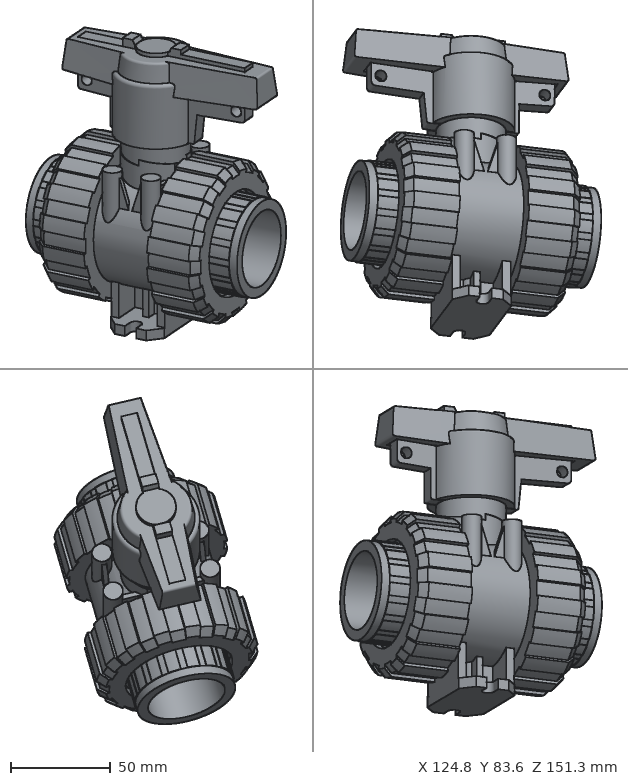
import cadquery as cq
import math


bore_radius = 16.0
socket_radius = 20.0

barrel_radius = 32.0
barrel_half_length = 34.5
neck_radius = 17.6
neck_base_radius = 17.9
neck_base_half_x = 15.7
neck_top = 67.0
ratchet_count = 4
ratchet_high = 42.4
ratchet_low = 39.2

post_radius = 5.0
post_x = 11.1
post_y = 25.2
post_top = 37.7
gusset_thickness = 2.6
gusset_foot = 17.8
gusset_foot_x = 0.9
gusset_top = 36.0
gusset_top_x = 6.8
inner_gusset_x = 12.9

foot_bottom = -50.87
foot_thickness = 5.5
foot_half_x = 15.4
foot_half_y = 26.2
foot_corner_x = 6.4
foot_corner_y = 7.0
notch_radius = 3.2
notch_depth = 8.5
leg_thickness = 4.4
leg_half_y = 18.4
web_thickness = 4.0
hub_post_radius = 5.0
rib_thickness = 3.4
rib_half_y = 10.5

nut_inner_x = 18.1
nut_outer_x = 46.0
nut_lip = 4.0
nut_chamfer = 4.0
nut_valley_radius = 40.2
nut_tooth_radius = 42.0
nut_hole_radius = 27.7
nut_tooth_count = 16
nut_tooth_angle = 180.0 / nut_tooth_count

connector_end_x = 60.75
connector_collar_x = 56.3
connector_collar_radius = 25.4
connector_groove_radius = 25.55
connector_radius = 25.9
connector_groove_count = 16
connector_groove_angle = 7.8

hub_bottom = 50.8
hub_radius = 22.0
hub_shoulder = 85.3
hub_shoulder_round = 1.9
crown_base_radius = 19.5
crown_top_radius = 18.0
crown_round = 1.5
handle_top = 95.75
grip_left_x = -48.25
grip_right_x = 64.25
grip_end_bottom = 79.5
grip_hub_bottom = 78.2
grip_hub_x = 17.5
grip_middle_x = 10.0
grip_middle_half_width = 13.9
grip_left_half_width = 11.0
grip_right_half_width = 10.6
grip_side_draft = 2.3
grip_end_draft = 1.7
grip_corner_round = 1.2
grip_roof = 4.0
channel_half_width = 6.0
channel_clearance = 1.0
hub_slot_half_width = 5.1

insert_half_width = 4.2
insert_left_x = -42.6
insert_right_x = 53.4
wing_end_bottom = 67.9
wing_corner_round = 2.0
leg_left_x = -24.0
leg_right_top_x = 25.9
leg_right_bottom_x = 24.3
leg_corner_round = 1.0
key_hole_radius = 2.9
key_hole_z = 73.5
key_hole_left_x = -37.5
key_hole_right_x = 48.4
cap_radius = 10.1
cap_top = 97.9
lug_top = 100.4
lug_inner_x = 11.2
lug_outer_x = 16.7
lug_foot_x = 9.8


def cylinder_z(radius, bottom, top):
    """Upright cylinder on the stem axis."""
    return cq.Workplane("XY").workplane(offset=bottom).circle(radius).extrude(top - bottom)


def cylinder_x(radius, start, end):
    """Cylinder on the pipe axis."""
    return cq.Workplane("YZ").workplane(offset=start).circle(radius).extrude(end - start)


def block(x_range, y_range, z_range):
    """Box given by its limits along each axis."""
    sizes = [high - low for low, high in (x_range, y_range, z_range)]
    corner = (x_range[0], y_range[0], z_range[0])
    return cq.Workplane("XY").box(*sizes, centered=False).translate(corner)


def profile_xz(points, half_width):
    """Closed XZ outline extruded evenly to both sides of the XZ plane."""
    return cq.Workplane("XZ").polyline(points).close().extrude(half_width, both=True)



def make_ratchet_skirt(radius):
    """Sleeve whose lower edge runs round in equal ramps, each ending in a step."""
    pitch = 360 / ratchet_count
    reach = radius * math.sin(math.radians(pitch / 2))
    wedge = [(0, 0), (reach, -reach), (reach, -2 * reach), (-reach, -2 * reach), (-reach, -reach)]
    sector = cylinder_z(radius, ratchet_low, hub_bottom)
    sector = sector.intersect(
        cq.Workplane("XY").workplane(offset=ratchet_low).polyline(wedge).close().extrude(hub_bottom)
    )
    ramp = [(-reach, ratchet_low), (reach, ratchet_low), (-reach, ratchet_high)]
    sector = sector.cut(profile_xz(ramp, 2 * radius))
    skirt = cq.Workplane("XY")
    for index in range(ratchet_count):
        skirt = skirt.union(sector.rotate((0, 0, 0), (0, 0, 1), (index + 0.5) * pitch))
    return skirt


def make_neck():
    """Base with flats facing the nuts, under a slimmer round neck seated on its ratchet ramps."""
    base = block(
        (-neck_base_half_x, neck_base_half_x), (-neck_base_radius, neck_base_radius), (0, ratchet_high)
    )
    base = base.intersect(cylinder_z(neck_base_radius, 0, ratchet_high))
    base = base.cut(make_ratchet_skirt(neck_base_radius))
    neck = base.union(make_ratchet_skirt(neck_radius))
    return neck.union(cylinder_z(neck_radius, ratchet_high, neck_top))


def make_post(side_x, side_y):
    """Round post with one gusset along X and one along Y, standing on the barrel."""
    post = cylinder_z(post_radius, 0, post_top).translate((post_x, post_y, 0))
    along_x = (
        cq.Workplane("XZ", origin=(0, post_y + gusset_thickness / 2, 0))
        .polyline([
            (post_x, 0),
            (gusset_foot_x, 0),
            (gusset_foot_x, gusset_foot),
            (gusset_top_x, gusset_top),
            (post_x, gusset_top),
        ])
        .close()
        .extrude(gusset_thickness)
    )
    along_y = block(
        (inner_gusset_x - gusset_thickness / 2, inner_gusset_x + gusset_thickness / 2),
        (0, post_y),
        (0, barrel_radius),
    )
    post = post.union(along_x).union(along_y)
    if side_x < 0:
        post = post.mirror("YZ")
    if side_y < 0:
        post = post.mirror("XZ")
    return post


def make_foot():
    """Base plate with chamfered corners and edge notches, carried by legs, web and rib."""
    plate_top = foot_bottom + foot_thickness
    flat_x = foot_half_x - foot_corner_x
    flat_y = foot_half_y - foot_corner_y
    plate = (
        cq.Workplane("XY")
        .workplane(offset=foot_bottom)
        .polyline([
            (foot_half_x, flat_y), (flat_x, foot_half_y),
            (-flat_x, foot_half_y), (-foot_half_x, flat_y),
            (-foot_half_x, -flat_y), (-flat_x, -foot_half_y),
            (flat_x, -foot_half_y), (foot_half_x, -flat_y),
        ])
        .close()
        .extrude(foot_thickness)
    )
    for side in (-1, 1):
        notch = (
            cq.Workplane("XY")
            .workplane(offset=foot_bottom)
            .center(0, side * foot_half_y)
            .slot2D(2 * notch_depth, 2 * notch_radius, 90)
            .extrude(foot_thickness)
        )
        plate = plate.cut(notch)
    height = (plate_top, 0)
    leg_inner = foot_half_x - leg_thickness
    foot = plate
    for limits in ((-foot_half_x, -leg_inner), (leg_inner, foot_half_x)):
        foot = foot.union(block(limits, (-leg_half_y, leg_half_y), height))
    foot = foot.union(block((-leg_inner, leg_inner), (-web_thickness / 2, web_thickness / 2), height))
    foot = foot.union(block((-rib_thickness / 2, rib_thickness / 2), (-rib_half_y, rib_half_y), height))
    return foot.union(cylinder_z(hub_post_radius, plate_top, 0))


def make_body():
    body = cylinder_x(barrel_radius, -barrel_half_length, barrel_half_length)
    body = body.union(make_neck()).union(make_foot())
    for side_x in (-1, 1):
        for side_y in (-1, 1):
            body = body.union(make_post(side_x, side_y))
    return body.cut(cylinder_x(bore_radius, -barrel_half_length, barrel_half_length))



def nut_ring(radius, angle):
    """Part-turn of the chamfered nut wall, with an inner lip at the outer end."""
    lip_x = nut_outer_x - nut_lip
    return (
        cq.Workplane("XY")
        .polyline([
            (nut_inner_x, barrel_radius),
            (nut_inner_x, radius),
            (nut_outer_x - nut_chamfer, radius),
            (nut_outer_x, radius - nut_chamfer),
            (nut_outer_x, nut_hole_radius),
            (lip_x, nut_hole_radius),
            (lip_x, barrel_radius),
        ])
        .close()
        .revolve(angle, (0, 0, 0), (1, 0, 0))
    )


def make_nut():
    nut = nut_ring(nut_valley_radius, 360)
    pitch = 360 / nut_tooth_count
    tooth = nut_ring(nut_tooth_radius, nut_tooth_angle)
    for index in range(nut_tooth_count):
        nut = nut.union(tooth.rotate((0, 0, 0), (1, 0, 0), nut_tooth_angle / 2 + index * pitch))
    return nut



def make_connector():
    """Flanged socket held by a nut, with lengthwise grooves behind its end collar."""
    flange_x = nut_outer_x - nut_lip
    connector = cylinder_x(barrel_radius, barrel_half_length, flange_x)
    connector = connector.union(cylinder_x(connector_groove_radius, flange_x, connector_collar_x))
    connector = connector.union(cylinder_x(connector_collar_radius, connector_collar_x, connector_end_x))
    pitch = 360 / connector_groove_count
    land = (
        cq.Workplane("XY")
        .polyline([
            (flange_x, socket_radius), (flange_x, connector_radius),
            (connector_collar_x, connector_radius), (connector_collar_x, socket_radius),
        ])
        .close()
        .revolve(pitch - connector_groove_angle, (0, 0, 0), (1, 0, 0))
    )
    for index in range(connector_groove_count):
        angle = connector_groove_angle / 2 + index * pitch
        connector = connector.union(land.rotate((0, 0, 0), (1, 0, 0), angle))
    return connector.cut(cylinder_x(socket_radius, barrel_half_length, connector_end_x))



def make_grip():
    """Lever wedge: drafted sides, widest at the hub, with a sloping underside."""

    def plan(inset_x, inset_y):
        half_widths = [
            (grip_left_x + inset_x, grip_left_half_width - inset_y),
            (-grip_middle_x, grip_middle_half_width - inset_y),
            (grip_middle_x, grip_middle_half_width - inset_y),
            (grip_right_x - inset_x, grip_right_half_width - inset_y),
        ]
        return half_widths + [(x, -y) for x, y in reversed(half_widths)]

    grip = (
        cq.Workplane("XY")
        .workplane(offset=grip_hub_bottom)
        .polyline(plan(0, 0)).close()
        .workplane(offset=handle_top - grip_hub_bottom)
        .polyline(plan(grip_end_draft, grip_side_draft)).close()
        .loft(ruled=True)
    )
    side = profile_xz(
        [
            (grip_left_x, handle_top), (grip_left_x, grip_end_bottom),
            (-grip_hub_x, grip_hub_bottom), (grip_hub_x, grip_hub_bottom),
            (grip_right_x, grip_end_bottom), (grip_right_x, handle_top),
        ],
        hub_radius,
    )
    grip = grip.intersect(side)
    grip = grip.faces(">Z").edges("<X or >X").fillet(grip_corner_round)
    return grip.edges("<X or >X").fillet(grip_corner_round)


def make_hub():
    hub = cylinder_z(hub_radius, hub_bottom, hub_shoulder)
    hub = hub.faces(">Z").edges().fillet(hub_shoulder_round)
    crown = (
        cq.Workplane("XY")
        .workplane(offset=hub_shoulder)
        .circle(crown_base_radius)
        .workplane(offset=handle_top - hub_shoulder)
        .circle(crown_top_radius)
        .loft()
    )
    crown = crown.faces(">Z").edges().fillet(crown_round)
    return hub.union(crown)


def make_handle(insert, neck):
    handle = make_hub().union(make_grip())
    roof_z = handle_top - grip_roof
    channel_left = insert_left_x - channel_clearance
    channel_right = insert_right_x + channel_clearance
    hub_slot = block(
        (-hub_radius, hub_radius), (-hub_slot_half_width, hub_slot_half_width), (hub_bottom, roof_z)
    )
    handle = handle.cut(hub_slot)
    for limits in ((channel_left, -hub_radius), (hub_radius, channel_right)):
        channel = block(limits, (-channel_half_width, channel_half_width), (grip_hub_bottom, roof_z))
        handle = handle.cut(channel)
    return handle.cut(insert).cut(neck)



def make_insert(neck):
    """Flat key through the handle: two pierced wings, two legs, and the cap on top."""
    legs = profile_xz(
        [
            (leg_left_x, handle_top), (leg_left_x, hub_bottom),
            (leg_right_bottom_x, hub_bottom), (leg_right_top_x, neck_top),
            (leg_right_top_x, handle_top),
        ],
        insert_half_width,
    )
    legs = legs.faces("<Z").edges("|Y").fillet(leg_corner_round)
    wings = profile_xz(
        [
            (insert_left_x, handle_top), (insert_left_x, wing_end_bottom),
            (leg_left_x, neck_top), (leg_right_top_x, neck_top),
            (insert_right_x, wing_end_bottom), (insert_right_x, handle_top),
        ],
        insert_half_width,
    )
    wings = wings.edges("|Y").edges(cq.selectors.BoxSelector(
        (insert_left_x - 1, -hub_radius, wing_end_bottom - 1),
        (insert_right_x + 1, hub_radius, wing_end_bottom + 1),
    )).edges("<X or >X").fillet(wing_corner_round)
    insert = wings.union(legs)
    holes = (
        cq.Workplane("XZ")
        .pushPoints([(key_hole_left_x, key_hole_z), (key_hole_right_x, key_hole_z)])
        .circle(key_hole_radius)
        .extrude(insert_half_width, both=True)
    )
    insert = insert.cut(holes).cut(neck)
    insert = insert.union(cylinder_z(cap_radius, handle_top, cap_top))
    strip = block((0, insert_right_x), (-insert_half_width, insert_half_width), (handle_top, cap_top))
    insert = insert.union(strip)
    lug = profile_xz(
        [
            (lug_foot_x, handle_top), (lug_outer_x, handle_top),
            (lug_outer_x, lug_top), (lug_inner_x, lug_top), (lug_foot_x, cap_top),
        ],
        insert_half_width,
    )
    return insert.union(lug).union(lug.mirror("YZ"))


neck_space = cylinder_z(neck_radius, hub_bottom, neck_top)
body = make_body()
right_nut = make_nut()
left_nut = right_nut.mirror("YZ")
right_connector = make_connector()
left_connector = right_connector.mirror("YZ")
insert = make_insert(neck_space)
handle = make_handle(insert, neck_space)

result = cq.Compound.makeCompound([
    body.val(),
    left_nut.val(),
    right_nut.val(),
    left_connector.val(),
    right_connector.val(),
    handle.val(),
    insert.val(),
])